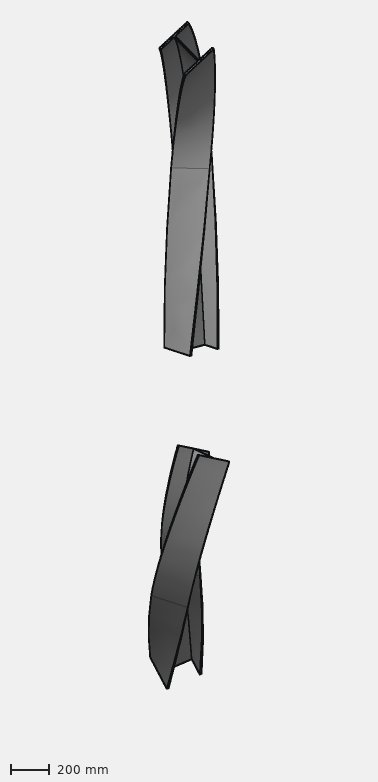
import cadquery as cq
import math

PROFILE_WIDTH = 200.0
PROFILE_DEPTH = 200.0
FLANGE_THICKNESS = 11.0
WEB_THICKNESS = 7.0

STRAIGHT_LENGTH = 1000.0
BEND_RADIUS = 859
BEND_ANGLE = 60
LEAN_DIRECTION = cq.Vector(1, -1, 0).normalized()
BEND_AXIS = cq.Vector(0, 0, 1).cross(LEAN_DIRECTION)

TWIST_PER_LEG = 45
BEND_SECTIONS = 9


def h_profile(plane):
    """H outline whose flanges run along the plane's local X."""
    half_width = PROFILE_WIDTH / 2
    half_depth = PROFILE_DEPTH / 2
    half_web = WEB_THICKNESS / 2
    flange_inside = half_depth - FLANGE_THICKNESS
    right_side = [
        (half_width, -half_depth),
        (half_width, -flange_inside),
        (half_web, -flange_inside),
        (half_web, flange_inside),
        (half_width, flange_inside),
        (half_width, half_depth),
    ]
    left_side = [(-x, y) for x, y in reversed(right_side)]
    return cq.Workplane(plane).polyline(right_side + left_side).close()


def bend_plane(fraction):
    """Plane across the arc, turned by the twist reached at this fraction of it."""
    bend = math.radians(BEND_ANGLE * fraction)
    sideways = LEAN_DIRECTION * (BEND_RADIUS * (1 - math.cos(bend)))
    upwards = cq.Vector(0, 0, STRAIGHT_LENGTH + BEND_RADIUS * math.sin(bend))
    tangent = LEAN_DIRECTION * math.sin(bend) + cq.Vector(0, 0, math.cos(bend))
    outward = tangent.cross(BEND_AXIS)
    twist = math.radians(TWIST_PER_LEG * fraction)
    flange_direction = BEND_AXIS * math.cos(twist) + outward * math.sin(twist)
    return cq.Plane(origin=sideways + upwards, xDir=flange_direction, normal=tangent)


def straight_leg():
    return h_profile("XY").twistExtrude(STRAIGHT_LENGTH, TWIST_PER_LEG)


def bent_leg():
    fractions = [i / (BEND_SECTIONS - 1) for i in range(BEND_SECTIONS)]
    wires = [h_profile(bend_plane(fraction)).val() for fraction in fractions]
    return cq.Workplane(cq.Solid.makeLoft(wires))


result = straight_leg().union(bent_leg())